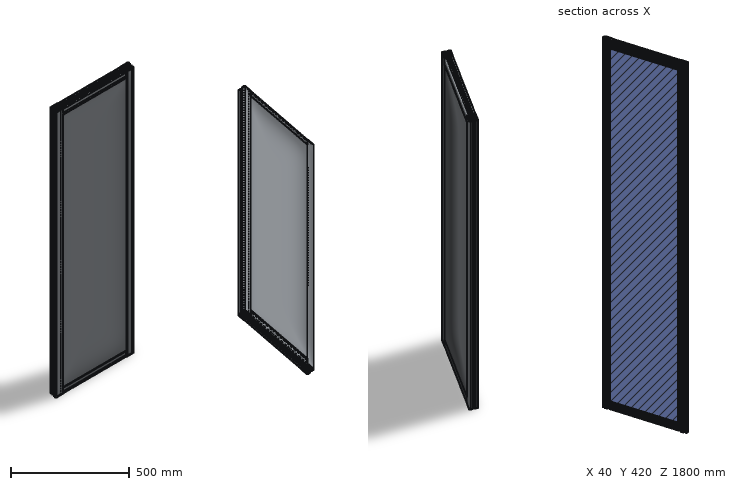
import cadquery as cq

height = 1800.0
depth = 420.0
bar = 40.0

outer_radius = 4.0
inner_radius = 1.0
core_diameter = 6.8

mouth_width = 8.0
lip = 4.5
cavity_depth = 13.0
cavity_width = 22.0
cavity_floor_width = 10.0
cavity_wall = 2.7

panel_recess = 2.0

rail_length = depth - 2 * bar
panel_height = height - 2 * bar
panel_thickness = bar - 2 * panel_recess
half_bar = bar / 2


def turned(body, angle):
    """Turn a body about the Z axis."""
    return body.rotate((0, 0, 0), (0, 0, 1), angle)


def slot_cavity(length):
    """Hollow behind the +Y side of a bar: straight below the lip, then tapering to its floor."""
    top = half_bar - lip
    shoulder = top - cavity_wall
    floor = half_bar - cavity_depth
    return (
        cq.Workplane("XY")
        .moveTo(-cavity_width / 2, top)
        .lineTo(cavity_width / 2, top)
        .lineTo(cavity_width / 2, shoulder)
        .lineTo(cavity_floor_width / 2, floor)
        .lineTo(-cavity_floor_width / 2, floor)
        .lineTo(-cavity_width / 2, shoulder)
        .close()
        .extrude(length)
    )


def make_bar(length):
    """Bar along Z with its frame-outer side on +Y; slots open on +Y and -Y, closed on +X and -X."""
    body = cq.Workplane("XY").rect(bar, bar).extrude(length)
    body = body.edges("|Z and >Y").fillet(outer_radius)
    body = body.edges("|Z and <Y").fillet(inner_radius)
    body = body.cut(cq.Workplane("XY").circle(core_diameter / 2).extrude(length))

    cavity = slot_cavity(length)
    for angle in (0, 90, 180, 270):
        body = body.cut(turned(cavity, angle))

    mouth = cq.Workplane("XY").center(0, half_bar - lip / 2).rect(mouth_width, lip).extrude(length)
    for angle in (0, 180):
        body = body.cut(turned(mouth, angle))

    return body.translate((0, 0, -length / 2))


post = make_bar(height).translate((0, (depth - bar) / 2, 0))

rail = make_bar(rail_length).rotate((0, 0, 0), (1, 0, 0), 90)
rail = rail.translate((0, 0, (height - bar) / 2))

result = cq.Workplane("XY").box(panel_thickness, rail_length, panel_height)
for angle in (0, 180):
    result = result.union(turned(post, angle))
    result = result.union(rail.rotate((0, 0, 0), (1, 0, 0), angle))